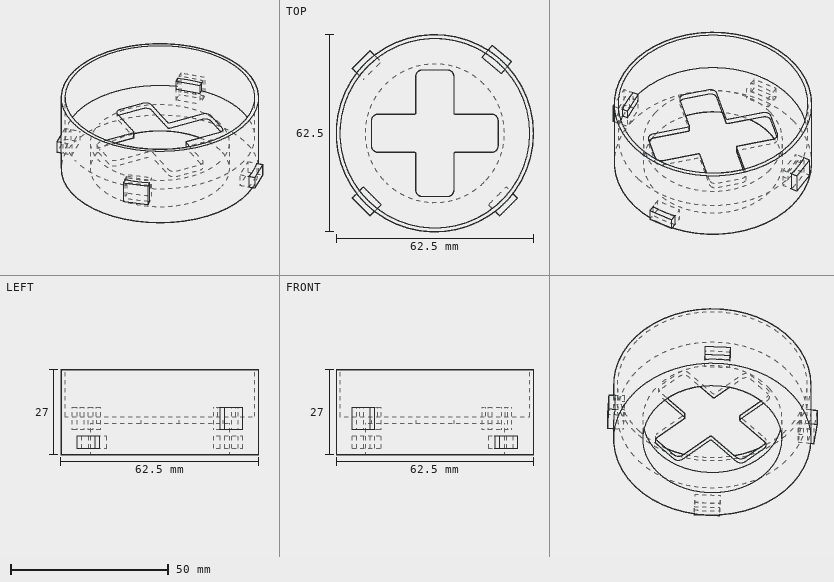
import cadquery as cq

outer_diameter = 62.5
rim_bore_diameter = 60.0
base_bore_diameter = 44.0
housing_height = 27.0
floor_top = 12.0
floor_thickness = 2.0

cross_span = 40.0
cross_arm_width = 12.0
cross_tip_radius = 2.0
cross_inner_radius = 0.5

key_width = 8.0
key_depth = 5.0
key_projection = 1.75
key_center_radius = outer_diameter / 2 + key_projection - key_depth / 2

tall_key_bottom = 8.0
tall_key_height = 7.0
tall_key_angles = [50.0, 225.0]

short_key_bottom = 2.0
short_key_height = 4.0
short_key_angles = [135.0, 315.0]


def make_key(height, bottom, angle):
    """Box facing radially outward at the given angle about Z, in degrees."""
    return (
        cq.Workplane("XY")
        .box(key_depth, key_width, height, centered=(True, True, False))
        .translate((key_center_radius, 0, bottom))
        .rotate((0, 0, 0), (0, 0, 1), angle)
    )


def make_cross_cutter():
    """Cross with rounded arm tips and slightly rounded inner corners."""
    floor_bottom = floor_top - floor_thickness
    plane = cq.Workplane("XY").workplane(offset=floor_bottom)
    arm_x = plane.rect(cross_span, cross_arm_width).extrude(floor_thickness)
    arm_y = plane.rect(cross_arm_width, cross_span).extrude(floor_thickness)
    inner_corners = cq.selectors.BoxSelector(
        (-cross_arm_width, -cross_arm_width, floor_bottom),
        (cross_arm_width, cross_arm_width, floor_top),
    )
    arm_x = arm_x.edges("|Z").fillet(cross_tip_radius)
    arm_y = arm_y.edges("|Z").fillet(cross_tip_radius)
    cross = arm_x.union(arm_y)
    return cross.edges("|Z").edges(inner_corners).fillet(cross_inner_radius)


def make_housing(keys):
    """Cup with its bores, the floor opening and a matching pocket for each key."""
    body = cq.Workplane("XY").circle(outer_diameter / 2).extrude(housing_height)
    rim_bore = (
        cq.Workplane("XY")
        .workplane(offset=floor_top)
        .circle(rim_bore_diameter / 2)
        .extrude(housing_height - floor_top)
    )
    base_bore = cq.Workplane("XY").circle(base_bore_diameter / 2).extrude(floor_top - floor_thickness)
    body = body.cut(rim_bore).cut(base_bore).cut(make_cross_cutter())
    for key in keys:
        body = body.cut(key)
    return body


tall_keys = [make_key(tall_key_height, tall_key_bottom, angle) for angle in tall_key_angles]
short_keys = [make_key(short_key_height, short_key_bottom, angle) for angle in short_key_angles]
housing = make_housing(tall_keys + short_keys)

result = cq.Compound.makeCompound(
    [housing.solids().val(), *[key.val() for key in tall_keys], *[key.val() for key in short_keys]]
)